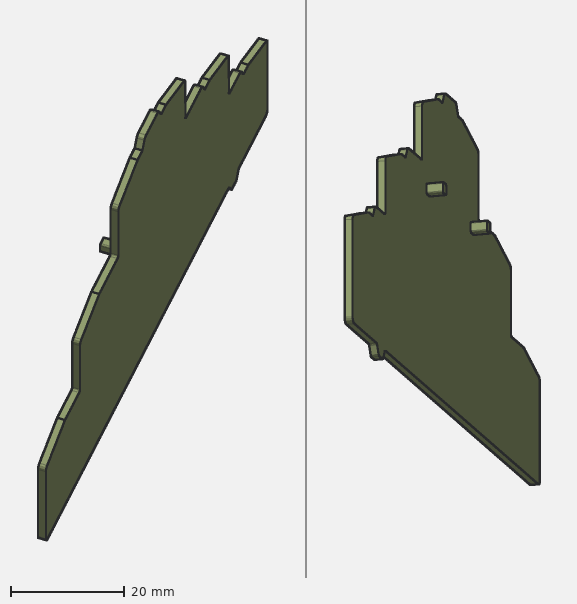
import cadquery as cq
import math

plate_thickness = 1.5
plate_height = 57.03
tier_pitch = 16.0

left_edges = [56.6, 37.7, 16.36]
right_edges = [51.82, 35.1, 16.36]

ledge_rise = 2.2
ledge_foot_inset = 11.77
ramp_angle = math.radians(60)
ledge_ramp_run = ledge_rise / math.tan(ramp_angle)
slope_run = 9.4
slope_drop = 3.15
top_shoulder = plate_height - ledge_rise
shoulders = [top_shoulder - tier_pitch * step for step in (2, 1, 0)]

tab_center = 40.2
tab_depth = 2.0
tab_root_width = 4.7
tab_tip_width = tab_root_width - 2 * tab_depth / math.tan(ramp_angle)

outer_radius = 1.0
inner_radius = 0.4
tab_radius = 0.5

post_size = 2.0
post_length = 3.0
post_spacing = 25.5
post_height = 36.5
post_edge_radius = 0.3


def tier_end(edge, shoulder, side):
    """Outer corner and crest of a tier's sloped end; side is +1 towards +Y, -1 towards -Y."""
    corner = (side * edge, shoulder - slope_drop)
    crest = (side * (edge - slope_run), shoulder)
    return [corner, crest]


def ledge_ramp(edge, shoulder, side):
    """Foot and head of the ramp that climbs from a shoulder to its raised ledge."""
    foot_y = edge - ledge_foot_inset
    foot = (side * foot_y, shoulder)
    head = (side * (foot_y - ledge_ramp_run), shoulder + ledge_rise)
    return [foot, head]


def foot_tab():
    """Tab below the base edge, listed from -Y to +Y."""
    return [
        (tab_center - tab_root_width / 2, 0),
        (tab_center - tab_tip_width / 2, -tab_depth),
        (tab_center + tab_tip_width / 2, -tab_depth),
        (tab_center + tab_root_width / 2, 0),
    ]


def left_flank():
    """Climb from the +Y base corner to the cap; every tier carries a raised ledge."""
    points = []
    for tier, (edge, shoulder) in enumerate(zip(left_edges, shoulders)):
        if tier > 0:
            points.append((edge, shoulders[tier - 1] + ledge_rise))
        points += tier_end(edge, shoulder, 1)
        points += ledge_ramp(edge, shoulder, 1)
    return points


def right_flank():
    """Climb from the -Y base corner to the cap; only the top tier carries a raised ledge."""
    points = []
    for tier, (edge, shoulder) in enumerate(zip(right_edges, shoulders)):
        if tier > 0:
            points.append((-edge, shoulders[tier - 1]))
        points += tier_end(edge, shoulder, -1)
    points += ledge_ramp(right_edges[-1], top_shoulder, -1)
    return points


def round_corners(plate, corners, radius):
    """Round the through-thickness edges that stand at the given (Y, Z) corners."""
    for y, z in corners:
        edge = cq.selectors.NearestToPointSelector((plate_thickness / 2, y, z))
        plate = plate.edges("|X").edges(edge).fillet(radius)
    return plate


def make_plate():
    base_left = (left_edges[0], 0)
    base_right = (-right_edges[0], 0)
    outline = [base_right] + foot_tab() + [base_left] + left_flank() + right_flank()[::-1]
    plate = cq.Workplane("YZ").polyline(outline).close().extrude(plate_thickness)

    outer_corners = [base_left, base_right]
    inner_corners = []
    for tier, shoulder in enumerate(shoulders):
        left, right = left_edges[tier], -right_edges[tier]
        outer_corners += [(left, shoulder - slope_drop), (right, shoulder - slope_drop)]
        if tier > 0:
            below = shoulders[tier - 1]
            inner_corners += [(left, below + ledge_rise), (right, below)]
        outer_corners.append(ledge_ramp(left_edges[tier], shoulder, 1)[-1])
    outer_corners.append(ledge_ramp(right_edges[-1], top_shoulder, -1)[-1])
    plate = round_corners(plate, outer_corners, outer_radius)
    plate = round_corners(plate, inner_corners, inner_radius)
    return round_corners(plate, foot_tab(), tab_radius)


def make_posts():
    return (
        cq.Workplane("YZ")
        .pushPoints([(side * post_spacing / 2, post_height) for side in (-1, 1)])
        .rect(post_size, post_size)
        .extrude(-post_length)
        .edges("|X")
        .fillet(post_edge_radius)
    )


result = make_plate().union(make_posts())